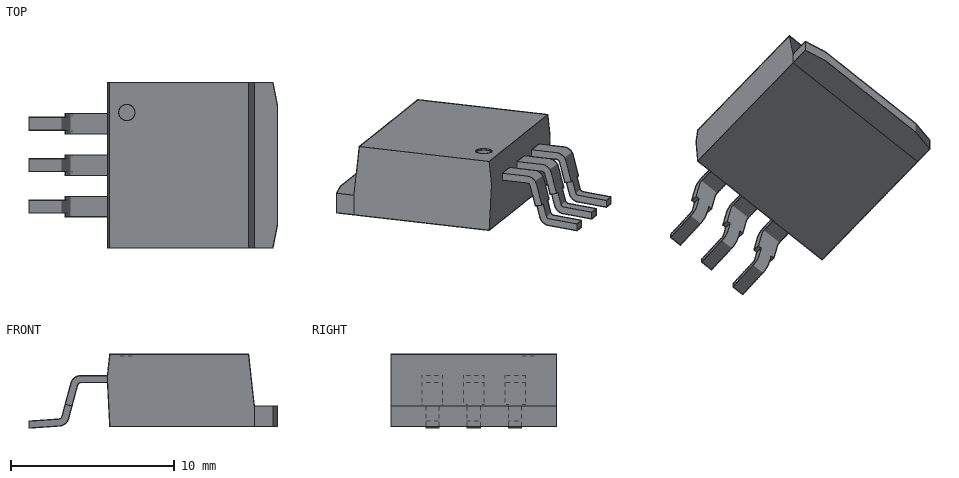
import cadquery as cq
import math


overall_length = 15.24
package_width = 10.16
half_width = package_width / 2

lead_count = 3
lead_pitch = 2.54
lead_thickness = 0.44
lead_wide_width = 1.27
lead_narrow_width = 0.8
lead_top_z = 3.13
lead_bottom_z = lead_top_z - lead_thickness
foot_drop = 0.1
foot_angle = math.radians(4)
slant_angle = math.radians(15)
bend_inner_radius = 0.2
bend_outer_radius = bend_inner_radius + lead_thickness
upper_bend_x = 3.18
shoulder_z = 1.37

housing_height = 4.44
housing_left_x = 4.81
housing_left_draft = 0.14
housing_right_x = 13.82
housing_right_draft = 0.35

mark_diameter = 1.0
mark_depth = 0.1
mark_x = 6.0
mark_y = 3.23

tab_thickness = 1.27
tab_corner_x = 0.28
tab_corner_y = 1.4


def point_at(center, radius, angle):
    """Point on a circle in the XZ plane, angle measured from +X towards +Z."""
    return (center[0] + radius * math.cos(angle), center[1] + radius * math.sin(angle))


def extrude_across(outline, width, center_y):
    """Extrude a closed XZ outline symmetrically about the plane Y = center_y."""
    return outline.extrude(width / 2, both=True).translate((0, center_y, 0))


def make_housing():
    profile = (
        cq.Workplane("XZ")
        .moveTo(housing_left_x + housing_left_draft, 0)
        .lineTo(housing_right_x, 0)
        .lineTo(housing_right_x, tab_thickness)
        .lineTo(housing_right_x - housing_right_draft, housing_height)
        .lineTo(housing_left_x + housing_left_draft, housing_height)
        .lineTo(housing_left_x, lead_top_z)
        .lineTo(housing_left_x, lead_bottom_z)
        .close()
    )
    mark = (
        cq.Workplane("XY", origin=(mark_x, mark_y, housing_height))
        .circle(mark_diameter / 2)
        .extrude(-mark_depth)
    )
    return extrude_across(profile, package_width, 0).cut(mark)


def make_tab():
    return (
        cq.Workplane("XY")
        .moveTo(housing_right_x, -half_width)
        .lineTo(overall_length - tab_corner_x, -half_width)
        .lineTo(overall_length, -half_width + tab_corner_y)
        .lineTo(overall_length, half_width - tab_corner_y)
        .lineTo(overall_length - tab_corner_x, half_width)
        .lineTo(housing_right_x, half_width)
        .close()
        .extrude(tab_thickness)
    )


tip_bottom_z = -foot_drop
tip_top_z = tip_bottom_z + lead_thickness / math.cos(foot_angle)

upper_center = (upper_bend_x, lead_top_z - bend_outer_radius)

foot_offset_z = tip_top_z + bend_inner_radius / math.cos(foot_angle)
leg_offset_x = upper_bend_x - (bend_outer_radius + bend_inner_radius) / math.cos(slant_angle)
lower_center_x = (
    leg_offset_x - (upper_center[1] - foot_offset_z) * math.tan(slant_angle)
) / (1 - math.tan(foot_angle) * math.tan(slant_angle))
lower_center = (lower_center_x, foot_offset_z + lower_center_x * math.tan(foot_angle))

upper_start = math.pi / 2
upper_end = math.pi - slant_angle
upper_middle = (upper_start + upper_end) / 2
lower_start = -math.pi / 2 + foot_angle
lower_end = -slant_angle
lower_middle = (lower_start + lower_end) / 2

leg_top = point_at(upper_center, bend_outer_radius, upper_end)
shoulder_outer = (leg_top[0] - (leg_top[1] - shoulder_z) * math.tan(slant_angle), shoulder_z)
shoulder_inner = point_at(shoulder_outer, lead_thickness, -slant_angle)


def make_lead(center_y):
    wide_outline = (
        cq.Workplane("XZ")
        .moveTo(housing_left_x, lead_top_z)
        .lineTo(upper_bend_x, lead_top_z)
        .threePointArc(point_at(upper_center, bend_outer_radius, upper_middle), leg_top)
        .lineTo(*shoulder_outer)
        .lineTo(*shoulder_inner)
        .lineTo(*point_at(upper_center, bend_inner_radius, upper_end))
        .threePointArc(
            point_at(upper_center, bend_inner_radius, upper_middle),
            point_at(upper_center, bend_inner_radius, upper_start),
        )
        .lineTo(housing_left_x, lead_bottom_z)
        .close()
    )
    narrow_outline = (
        cq.Workplane("XZ")
        .moveTo(0, tip_bottom_z)
        .lineTo(*point_at(lower_center, bend_outer_radius, lower_start))
        .threePointArc(
            point_at(lower_center, bend_outer_radius, lower_middle),
            point_at(lower_center, bend_outer_radius, lower_end),
        )
        .lineTo(*shoulder_inner)
        .lineTo(*shoulder_outer)
        .lineTo(*point_at(lower_center, bend_inner_radius, lower_end))
        .threePointArc(
            point_at(lower_center, bend_inner_radius, lower_middle),
            point_at(lower_center, bend_inner_radius, lower_start),
        )
        .lineTo(0, tip_top_z)
        .close()
    )
    wide_part = extrude_across(wide_outline, lead_wide_width, center_y)
    narrow_part = extrude_across(narrow_outline, lead_narrow_width, center_y)
    return wide_part.union(narrow_part)


housing = make_housing()
tab = make_tab()
leads = []
for index in range(lead_count):
    lead_y = (index - (lead_count - 1) / 2) * lead_pitch
    leads.append(make_lead(lead_y))

result = cq.Compound.makeCompound(
    [housing.val(), tab.val(), *[lead.val() for lead in leads]]
)